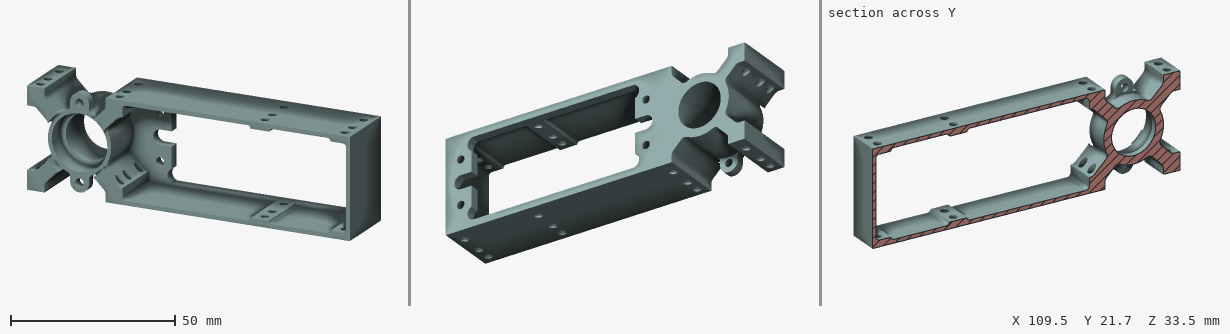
import cadquery as cq
import math

length = 109.5
depth = 21.7
height = 33.5
top = height / 2

ring_x = 16.5
ring_radius = 10.7
bore_radius = 7.8
counterbore_radius = 9.4
counterbore_depth = 6.3
ring_setback = 2.7
arm_clearance = 0.3
lug_radius = 3.2
lug_offset = 12.8
lug_thickness = 3.0
hole_radius = 1.37

arm_width = 4.6
arm_rise = arm_width / math.sqrt(2)
left_block_length = 6.0
left_block_bottom = 10.4
right_block_start = 26.7
right_block_end = 32.4
right_block_bottom = 11.4
block_fillet = 2.2
ring_fillet = 1.6

plate_thickness = 3.3
cavity_depth = depth - plate_thickness
end_wall = 1.3
inner_half_height = 14.3
cavity_fillet = 1.1
pocket_half_height = 15.3
pocket_spans = [(right_block_end, 75.9), (82.1, 102.9)]

window_start = 40.1
window_end = 100.1
window_middle = (window_start + window_end) / 2
relief_radius = 2.4
relief_inset = 1.0
slot_width = 4.8
slot_length = 72.5
plate_hole_spacing_x = 67.9
plate_hole_z = 7.9

wall_hole_x = [3.1, 29.9, 79.2, 106.2]
wall_hole_y = [3.3, 8.4, 16.3]

sides = (1, -1)


def box(x_start, x_end, z_start, z_end, y_end):
    """Block that starts at the front plane and runs back to y_end."""
    size = (x_end - x_start, y_end, z_end - z_start)
    return cq.Workplane("XY").box(*size, centered=False).translate((x_start, 0, z_start))


def cylinder(x, z, radius, y_start, y_end):
    """Cylinder along y."""
    plane = cq.Workplane("XZ", origin=(x, y_start, z))
    return plane.circle(radius).extrude(y_start - y_end)


def fillet_at(body, points, radius):
    """Round the edges along y that pass through the given (x, z) points."""
    edges = body.edges("|Y")
    picked = []
    for x, z in points:
        picked += edges.edges(cq.NearestToPointSelector((x, depth / 2, z))).vals()
    return body.newObject(picked).fillet(radius)


def arm(direction, side, reach):
    """Diagonal bar from the ring centre, ending inside its corner block."""
    tip_x = ring_x + direction * reach
    tip_z = side * reach
    step_x = direction * arm_rise / 2
    step_z = side * arm_rise / 2
    outline = [
        (ring_x + step_x, -step_z),
        (tip_x + step_x, tip_z - step_z),
        (tip_x - step_x, tip_z + step_z),
        (ring_x - step_x, step_z),
    ]
    return cq.Workplane("XZ").polyline(outline).close().extrude(-depth)


def ring_and_arms():
    """Solid ring disc joined by four diagonal arms to the corner blocks, all full depth."""
    body = cylinder(ring_x, 0, ring_radius, 0, depth)
    for side in sides:
        for direction, x_start, x_end, bottom in (
            (-1, 0, left_block_length, left_block_bottom),
            (1, right_block_start, right_block_end, right_block_bottom),
        ):
            body = body.union(arm(direction, side, (bottom + top) / 2))
            z_start, z_end = sorted((side * bottom, side * top))
            body = body.union(box(x_start, x_end, z_start, z_end, depth))

    block_corners = []
    for side in sides:
        block_corners += [
            (left_block_length, side * (ring_x - left_block_length + arm_rise)),
            (ring_x - left_block_bottom - arm_rise, side * left_block_bottom),
            (right_block_start, side * (right_block_start - ring_x + arm_rise)),
            (ring_x + right_block_bottom + arm_rise, side * right_block_bottom),
        ]
    body = fillet_at(body, block_corners, block_fillet)

    spread = math.asin(arm_width / 2 / ring_radius)
    ring_corners = []
    for quarter in range(4):
        for turn in (-spread, spread):
            angle = math.pi / 4 + quarter * math.pi / 2 + turn
            ring_corners.append(
                (ring_x + ring_radius * math.cos(angle), ring_radius * math.sin(angle))
            )
    return fillet_at(body, ring_corners, ring_fillet)


def lug(side):
    """Screw lug at the front of the ring, blended into it on both flanks."""
    center_distance = ring_radius + ring_fillet
    fillet_x = lug_radius + ring_fillet
    fillet_z = math.sqrt(center_distance**2 - fillet_x**2)
    foot_x = fillet_x * ring_radius / center_distance
    foot_z = fillet_z * ring_radius / center_distance
    blend_angle = math.atan2(fillet_z, fillet_x) / 2
    blend_x = fillet_x - ring_fillet * math.cos(blend_angle)
    blend_z = fillet_z - ring_fillet * math.sin(blend_angle)
    profile = (
        cq.Workplane("XZ", origin=(ring_x, ring_setback, 0))
        .moveTo(-foot_x, side * foot_z)
        .threePointArc((-blend_x, side * blend_z), (-lug_radius, side * fillet_z))
        .lineTo(-lug_radius, side * lug_offset)
        .threePointArc((0, side * (lug_offset + lug_radius)), (lug_radius, side * lug_offset))
        .lineTo(lug_radius, side * fillet_z)
        .threePointArc((blend_x, side * blend_z), (foot_x, side * foot_z))
        .lineTo(0, 0)
        .close()
    )
    return profile.extrude(-lug_thickness)


def frame():
    """Top, bottom and end walls around the cavity, with shallow pockets in the walls."""
    walls = box(right_block_end, length, -top, top, depth)
    cavity = box(right_block_start, length - end_wall, -inner_half_height, inner_half_height, cavity_depth)
    walls = walls.cut(cavity.edges("|Y and >X").fillet(cavity_fillet))
    for start, end in pocket_spans:
        pocket = box(start, end, -pocket_half_height, pocket_half_height, cavity_depth)
        walls = walls.cut(pocket.edges("|Y").fillet(cavity_fillet))
    return walls


def back_plate():
    """Plate closing the back of the frame and reaching between the right arms to the ring."""
    plate_end = length - end_wall / 2
    plate_top = (pocket_half_height + top) / 2
    outline = [
        (ring_x, 0),
        (ring_x + plate_top, plate_top),
        (plate_end, plate_top),
        (plate_end, -plate_top),
        (ring_x + plate_top, -plate_top),
    ]
    plane = cq.Workplane("XZ", origin=(0, cavity_depth, 0))
    return plane.polyline(outline).close().extrude(-plate_thickness)


def window():
    """Rectangular opening with rounded corner reliefs and a slot along the middle."""
    opening = box(window_start, window_end, -inner_half_height, inner_half_height, depth)
    for x in (window_start + relief_inset, window_end - relief_inset):
        for side in sides:
            z = side * (inner_half_height - relief_radius)
            opening = opening.union(cylinder(x, z, relief_radius, 0, depth))
    slot = cq.Workplane("XZ").slot2D(slot_length, slot_width).extrude(-depth)
    return opening.union(slot.translate((window_middle, 0, 0)))


def wall_holes():
    """Vertical holes through the top and bottom walls."""
    points = [(x, y) for x in wall_hole_x for y in wall_hole_y]
    plane = cq.Workplane("XY", origin=(0, 0, -top))
    return plane.pushPoints(points).circle(hole_radius).extrude(height)


result = ring_and_arms().cut(cylinder(ring_x, 0, ring_radius + arm_clearance, 0, ring_setback))
result = result.union(frame()).union(back_plate())
for side in sides:
    result = result.union(lug(side))

result = result.cut(cylinder(ring_x, 0, bore_radius, 0, depth))
result = result.cut(cylinder(ring_x, 0, counterbore_radius, 0, ring_setback + counterbore_depth))
result = result.cut(window())

for side in sides:
    result = result.cut(
        cylinder(ring_x, side * lug_offset, hole_radius, 0, ring_setback + lug_thickness)
    )
    for direction in (-1, 1):
        x = window_middle + direction * plate_hole_spacing_x / 2
        result = result.cut(cylinder(x, side * plate_hole_z, hole_radius, 0, depth))

result = result.cut(wall_holes())